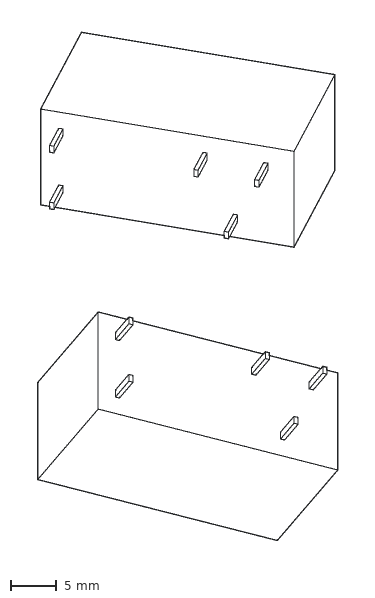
import cadquery as cq

body_length = 29.0
body_depth = 15.7
body_height = 12.7

pin_length = 3.5
pin_width = 0.5
pin_height = 0.9

row_spacing = 7.5
contact_pitch = 3.48
coil_pin_x = 2.32
common_pin_x = 22.3
upper_row_z = (body_height + row_spacing) / 2
lower_row_z = (body_height - row_spacing) / 2

pin_centers = [
    (coil_pin_x, upper_row_z),
    (coil_pin_x, lower_row_z),
    (common_pin_x - contact_pitch, upper_row_z),
    (common_pin_x, lower_row_z),
    (common_pin_x + contact_pitch, upper_row_z),
]


def make_body():
    return cq.Workplane("XY").box(body_length, body_depth, body_height, centered=False)


def make_pins():
    return (
        cq.Workplane("XZ")
        .pushPoints(pin_centers)
        .rect(pin_width, pin_height)
        .extrude(pin_length)
    )


result = make_body().union(make_pins())